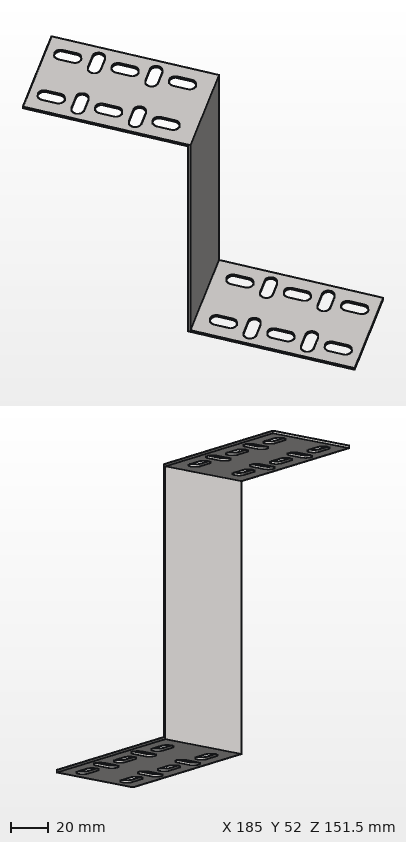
import cadquery as cq

overall_length = 185.0
width = 52.0
overall_height = 151.5
thickness = 1.5
upper_flange_length = 93.5

slot_length = 15.0
slot_width = 7.0
slots_per_row = 5
slot_pitch = 16.0
row_spacing = 30.0
end_to_first_slot = 12.5

half_length = overall_length / 2
half_height = overall_height / 2
web_outer_x = upper_flange_length - half_length
web_inner_x = web_outer_x - thickness


def z_profile_body():
    """Constant-thickness Z outline with sharp bends; its bounding box is centred on the origin."""
    outline = [
        (-half_length, half_height),
        (web_outer_x, half_height),
        (web_outer_x, -half_height + thickness),
        (half_length, -half_height + thickness),
        (half_length, -half_height),
        (web_inner_x, -half_height),
        (web_inner_x, half_height - thickness),
        (-half_length, half_height - thickness),
    ]
    return cq.Workplane("XZ").polyline(outline).close().extrude(width / 2, both=True)


def slot_centers(side, indices):
    """Slot centres on the flange at side -1 (-X) or +1 (+X), counted inward from its free end."""
    return [
        (side * (half_length - end_to_first_slot - index * slot_pitch), row * row_spacing / 2)
        for index in indices
        for row in (-1, 1)
    ]


def flange_slots(side, flange_bottom):
    """Cutters for every slot in one flange."""
    plane = cq.Workplane("XY").workplane(offset=flange_bottom)
    along_x = plane.pushPoints(slot_centers(side, range(0, slots_per_row, 2)))
    along_y = plane.pushPoints(slot_centers(side, range(1, slots_per_row, 2)))
    lengthwise = along_x.slot2D(slot_length, slot_width, 0).extrude(thickness)
    crosswise = along_y.slot2D(slot_length, slot_width, 90).extrude(thickness)
    return lengthwise.add(crosswise).combine()


upper_slots = flange_slots(-1, half_height - thickness)
lower_slots = flange_slots(1, -half_height)

result = z_profile_body().cut(upper_slots).cut(lower_slots)